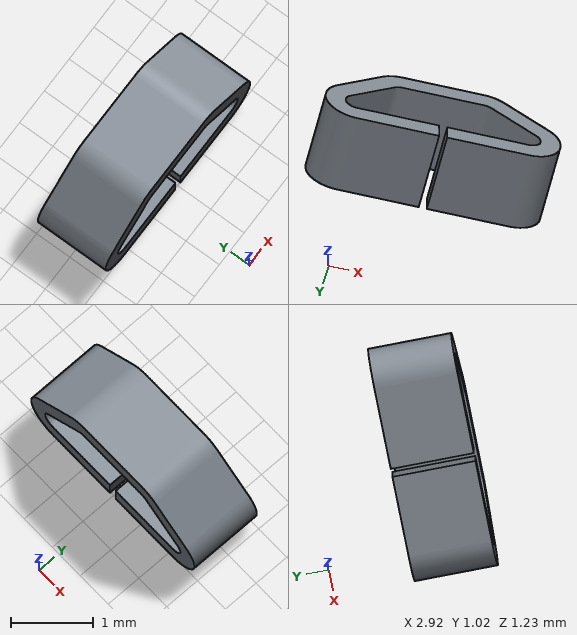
import cadquery as cq

length_x = 2.92
width_y = 1.02
height_z = 1.23

strip_thickness = 0.25
outer_bend_radius = 0.395
inner_bend_radius = outer_bend_radius - strip_thickness
top_flat_length = 1.02
end_gap = 0.10

lower_bend_x = length_x / 2 - outer_bend_radius
lower_bend_z = outer_bend_radius
upper_bend_x = top_flat_length / 2
upper_bend_z = height_z - outer_bend_radius
bend_centres = [
    (-lower_bend_x, lower_bend_z),
    (lower_bend_x, lower_bend_z),
    (upper_bend_x, upper_bend_z),
    (-upper_bend_x, upper_bend_z),
]


def rounded_trapezoid(bend_radius):
    """Prism along Y whose outline wraps the four bend centres at bend_radius."""
    return (
        cq.Workplane("XZ")
        .polyline(bend_centres)
        .close()
        .offset2D(bend_radius, "arc")
        .extrude(width_y / 2, both=True)
    )


def gap_between_ends():
    """Block that separates the two strip ends in the middle of the bottom leg."""
    return cq.Workplane("XY").box(
        end_gap, width_y, strip_thickness, centered=(True, True, False)
    )


closed_loop = rounded_trapezoid(outer_bend_radius).cut(rounded_trapezoid(inner_bend_radius))
result = closed_loop.cut(gap_between_ends())